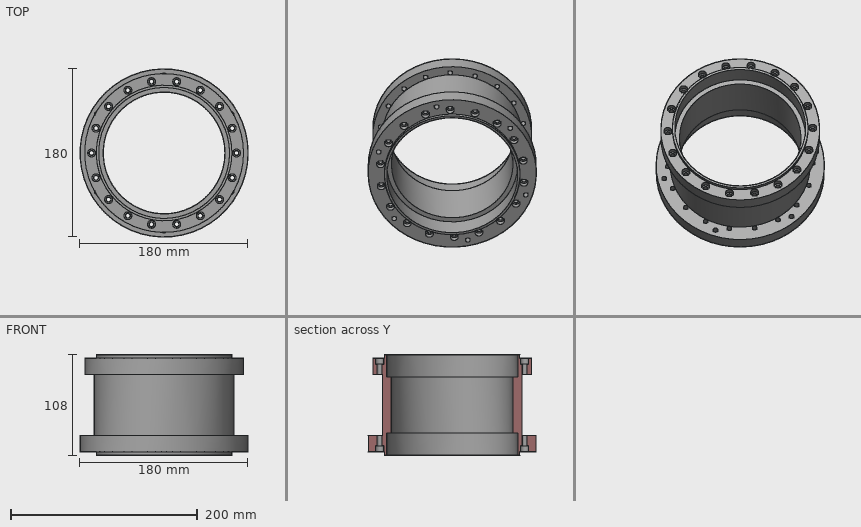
import cadquery as cq

height = 108.0
bore_dia = 130.0
body_dia = 150.0

spigot_dia = 145.0
spigot_height = 4.0
recess_dia = 140.0
recess_depth = 24.0

bottom_flange_dia = 180.0
top_flange_dia = 170.0
flange_thickness = 17.5

bolt_count = 18
bolt_circle_dia = 155.0
bolt_hole_dia = 4.9
head_recess_dia = 8.5
head_recess_depth = 6.3

outer_hole_count = 6
outer_hole_circle_dia = 166.0
outer_hole_dia = 5.0
outer_hole_start_angle = 30.0

bottom_flange_base = spigot_height
bottom_flange_top = bottom_flange_base + flange_thickness
top_flange_top = height - spigot_height
top_flange_base = top_flange_top - flange_thickness


def cylinder(diameter, z_low, z_high):
    """Solid cylinder on the Z axis between two levels."""
    return cq.Workplane("XY").workplane(offset=z_low).circle(diameter / 2).extrude(z_high - z_low)


def hole_ring(diameter, circle_dia, count, start_angle, z_low, z_high):
    """Ring of equally spaced vertical cylinders, used as a cutter."""
    return (
        cq.Workplane("XY")
        .workplane(offset=z_low)
        .polarArray(circle_dia / 2, start_angle, 360, count)
        .circle(diameter / 2)
        .extrude(z_high - z_low)
    )


def bolt_ring(diameter, z_low, z_high):
    """Ring of cylinders at the bolt positions."""
    return hole_ring(diameter, bolt_circle_dia, bolt_count, 0, z_low, z_high)


result = (
    cylinder(spigot_dia, 0, height)
    .union(cylinder(body_dia, bottom_flange_base, top_flange_top))
    .union(cylinder(bottom_flange_dia, bottom_flange_base, bottom_flange_top))
    .union(cylinder(top_flange_dia, top_flange_base, top_flange_top))
)

result = (
    result.cut(cylinder(bore_dia, 0, height))
    .cut(cylinder(recess_dia, 0, recess_depth))
    .cut(cylinder(recess_dia, height - recess_depth, height))
)

result = (
    result.cut(bolt_ring(bolt_hole_dia, bottom_flange_base, bottom_flange_top))
    .cut(bolt_ring(bolt_hole_dia, top_flange_base, top_flange_top))
    .cut(bolt_ring(head_recess_dia, bottom_flange_base, bottom_flange_base + head_recess_depth))
    .cut(bolt_ring(head_recess_dia, top_flange_top - head_recess_depth, top_flange_top))
)

result = result.cut(
    hole_ring(
        outer_hole_dia,
        outer_hole_circle_dia,
        outer_hole_count,
        outer_hole_start_angle,
        bottom_flange_base,
        bottom_flange_top,
    )
)